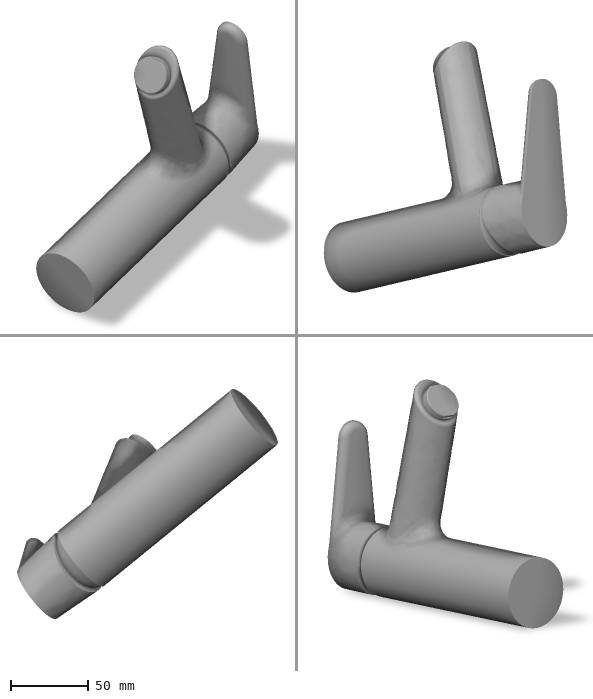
import cadquery as cq
import math

TOTAL_LENGTH = 186.0
BODY_RADIUS = 23.2

BARREL_LENGTH = 148.6
NECK_ROOT_RADIUS = 22.7
NECK_TIP_RADIUS = 15.3
NECK_LENGTH = 14.9

SPOUT_LOW_Z = 37.2
SPOUT_LOW_Y = 119.8
SPOUT_LOW_RX = 16.2
SPOUT_LOW_RY = 16.4
SPOUT_HIGH_Z = 97.0
SPOUT_HIGH_Y = 104.7
SPOUT_HIGH_RX = 15.6
SPOUT_HIGH_RY = 15.6
SPOUT_BLANK_TOP = 134.0
SPOUT_ROOT_FILLET = 11.5

MOUTH_Y = 88.4
MOUTH_Z = 97.6
MOUTH_ANGLE = 51.0
MOUTH_FILLET = 2.0

AERATOR_RADIUS = 12.0
AERATOR_LENGTH = 13.0
AERATOR_FACE_Y = 93.5
AERATOR_FACE_Z = 114.0
AERATOR_FACE_ANGLE = 54.5
AERATOR_FLAT_OFFSET = 11.2
AERATOR_FLAT_DEPTH = 2.8
AERATOR_CHAMFER = 0.5

HANDLE_FRONT_Y = 151.4
HANDLE_BACK_HALF_WIDTH = 20.0
ELLIPSE_MARGIN = 0.002
UNDERCUT_TOP_Z = -1.3
UNDERCUT_BOTTOM_Y = 158.3

LEVER_THICKNESS = 6.3
LEVER_TOP_Z = 88.0
LEVER_BASE_Z = 5.5
LEVER_BASE_HALF_WIDTH = 19.2
LEVER_SHOULDER_Z = 77.0
LEVER_SHOULDER_HALF_WIDTH = 11.2
LEVER_EDGE_FILLET = 4.8
LEVER_ROOT_FILLET = 6.1

BUTTON_RADIUS = 4.5
BUTTON_DEPTH = 3.7
BUTTON_Y = 163.0

AXIS_Y = cq.Vector(0, 1, 0)
CUTTER_SIZE = 2 * TOTAL_LENGTH
EDGE_MARGIN = 1.0


def tilted_plane(y, z, angle):
    """Plane through (0, y, z), rising at angle towards +Y, facing -Y and +Z."""
    tilt = math.radians(angle)
    return cq.Plane((0, y, z), (1, 0, 0), (0, -math.sin(tilt), math.cos(tilt)))


def make_neck():
    return cq.Workplane(obj=cq.Solid.makeCone(
        NECK_ROOT_RADIUS, NECK_TIP_RADIUS, NECK_LENGTH, cq.Vector(0, BARREL_LENGTH, 0), AXIS_Y))


def spout_section(z):
    """Ellipse of the evenly tapering, leaning spout at height z."""
    t = (z - SPOUT_LOW_Z) / (SPOUT_HIGH_Z - SPOUT_LOW_Z)
    center_y = SPOUT_LOW_Y + t * (SPOUT_HIGH_Y - SPOUT_LOW_Y)
    rx = SPOUT_LOW_RX + t * (SPOUT_HIGH_RX - SPOUT_LOW_RX)
    ry = SPOUT_LOW_RY + t * (SPOUT_HIGH_RY - SPOUT_LOW_RY)
    return cq.Workplane(origin=(0, center_y, z)).ellipse(rx, ry).val()


def make_spout():
    sections = [spout_section(z) for z in (0, SPOUT_BLANK_TOP)]
    blank = cq.Workplane(obj=cq.Solid.makeLoft(sections, True))
    mouth = tilted_plane(MOUTH_Y, MOUTH_Z, MOUTH_ANGLE)
    return blank.cut(cq.Workplane(mouth).rect(CUTTER_SIZE, CUTTER_SIZE).extrude(CUTTER_SIZE))


def make_aerator_socket():
    """Plain cylinder that the aerator fills and is cut from the housing."""
    face = tilted_plane(AERATOR_FACE_Y, AERATOR_FACE_Z, AERATOR_FACE_ANGLE)
    return cq.Workplane(face).circle(AERATOR_RADIUS).extrude(-AERATOR_LENGTH)


def make_aerator():
    face = tilted_plane(AERATOR_FACE_Y, AERATOR_FACE_Z, AERATOR_FACE_ANGLE)
    outer_face = cq.selectors.DirectionNthSelector(face.zDir, -1)
    aerator = make_aerator_socket().faces(outer_face).chamfer(AERATOR_CHAMFER)
    for side in (-1, 1):
        flat = (cq.Workplane(face)
                .center(0, side * (AERATOR_FLAT_OFFSET + AERATOR_RADIUS / 2))
                .rect(2 * AERATOR_RADIUS, AERATOR_RADIUS)
                .extrude(-AERATOR_FLAT_DEPTH))
        aerator = aerator.cut(flat)
    return aerator


def make_housing(neck, aerator_socket):
    barrel = cq.Workplane(obj=cq.Solid.makeCylinder(
        BODY_RADIUS, TOTAL_LENGTH, cq.Vector(0, 0, 0), AXIS_Y))
    housing = barrel.union(make_spout())
    root_zone = cq.selectors.BoxSelector(
        (-BODY_RADIUS, EDGE_MARGIN, EDGE_MARGIN),
        (BODY_RADIUS, TOTAL_LENGTH - EDGE_MARGIN, BODY_RADIUS + EDGE_MARGIN))
    housing = housing.edges(root_zone).edges("not %LINE").fillet(SPOUT_ROOT_FILLET)
    beyond_barrel = cq.Workplane("XZ", origin=(0, BARREL_LENGTH, 0)).rect(CUTTER_SIZE, CUTTER_SIZE)
    housing = housing.cut(beyond_barrel.extrude(-CUTTER_SIZE))
    mouth_normal = tilted_plane(MOUTH_Y, MOUTH_Z, MOUTH_ANGLE).zDir
    housing = housing.faces(cq.selectors.ParallelDirSelector(mouth_normal)).edges().fillet(MOUTH_FILLET)
    return housing.union(neck).cut(aerator_socket)


def make_lever():
    outline = (cq.Workplane("XZ", origin=(0, TOTAL_LENGTH, 0))
               .moveTo(-LEVER_BASE_HALF_WIDTH, LEVER_BASE_Z)
               .lineTo(-LEVER_SHOULDER_HALF_WIDTH, LEVER_SHOULDER_Z)
               .threePointArc((0, LEVER_TOP_Z), (LEVER_SHOULDER_HALF_WIDTH, LEVER_SHOULDER_Z))
               .lineTo(LEVER_BASE_HALF_WIDTH, LEVER_BASE_Z)
               .close())
    lever = outline.extrude(LEVER_THICKNESS)
    return lever.faces("<Y").edges("not <Z").fillet(LEVER_EDGE_FILLET)


def handle_section(y, half_width):
    """Ellipse across the handle at y, as tall as the barrel, with its seam at the bottom."""
    plane = cq.Plane((0, y, 0), (0, 0, -1), (0, -1, 0))
    return cq.Workplane(plane).ellipse(BODY_RADIUS, half_width - ELLIPSE_MARGIN).val()


def make_handle_blank():
    front = handle_section(HANDLE_FRONT_Y, BODY_RADIUS)
    back = handle_section(TOTAL_LENGTH, HANDLE_BACK_HALF_WIDTH)
    cap = cq.Workplane(obj=cq.Solid.makeLoft([front, back], True))
    handle = cap.union(make_lever())
    root_y = TOTAL_LENGTH - LEVER_THICKNESS
    root_zone = cq.selectors.BoxSelector(
        (-BODY_RADIUS, root_y - EDGE_MARGIN, BODY_RADIUS / 2),
        (BODY_RADIUS, root_y + EDGE_MARGIN, BODY_RADIUS + EDGE_MARGIN))
    handle = handle.edges(root_zone).fillet(LEVER_ROOT_FILLET)
    undercut = (cq.Workplane("YZ")
                .moveTo(HANDLE_FRONT_Y, UNDERCUT_TOP_Z)
                .lineTo(UNDERCUT_BOTTOM_Y, -BODY_RADIUS)
                .lineTo(UNDERCUT_BOTTOM_Y, -2 * BODY_RADIUS)
                .lineTo(HANDLE_FRONT_Y, -2 * BODY_RADIUS)
                .close()
                .extrude(CUTTER_SIZE / 2, both=True))
    return handle.cut(undercut)


neck = make_neck()
aerator = make_aerator()
housing = make_housing(neck, make_aerator_socket())
handle_blank = make_handle_blank().cut(neck)
button_zone = (cq.Workplane(origin=(0, BUTTON_Y, BODY_RADIUS - BUTTON_DEPTH))
               .circle(BUTTON_RADIUS).extrude(2 * BUTTON_DEPTH))
button = handle_blank.intersect(button_zone)
handle = handle_blank.cut(button_zone)

result = cq.Compound.makeCompound([housing.val(), aerator.val(), handle.val(), button.val()])